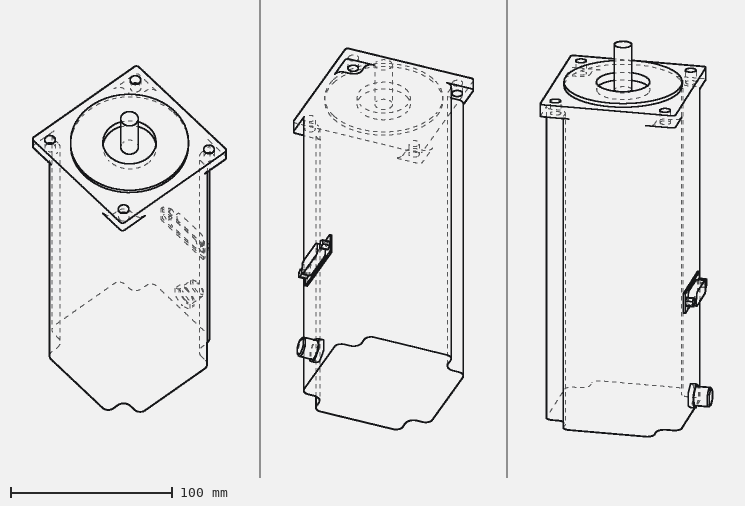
import cadquery as cq
import math

total_height = 242.0
motor_width = 85.9
back_face_y = motor_width / 2

shaft_diameter = 11.0
shaft_length = 25.0
pilot_diameter = 73.0
pilot_height = 2.5
recess_diameter = 33.0
recess_depth = 5.0
flange_thickness = 8.0
flange_corner_radius = 2.0
mounting_hole_diameter = 6.5
mounting_hole_spacing = 69.7

pilot_top_z = total_height - shaft_length
flange_top_z = pilot_top_z - pilot_height
flange_bottom_z = flange_top_z - flange_thickness
recess_floor_z = pilot_top_z - recess_depth

notch_size = 14.0
notch_inner_radius = 5.5
notch_outer_radius = 4.5

signal_z = 81.3
plate_width = 40.2
plate_height = 13.0
plate_thickness = 1.2
plate_corner_radius = 1.0
shell_bottom_width = 25.5
shell_height = 9.2
shell_reach = 6.5
shell_corner_radius = 2.5
shell_side_slant = 10.0
standoff_across_flats = 5.0
standoff_spacing = 33.5
standoff_reach = 5.8

power_z = 12.5
plug_diameter = 12.0
plug_reach = 12.8
plug_chamfer = 1.0
base_across_flats = 14.0
base_thickness = 3.5
base_corner_radius = 2.0


def back_plane(z):
    """Plane on the +Y face at height z: normal +Y, local Y up, local X along -X."""
    return cq.Workplane(cq.Plane(origin=(0, back_face_y, z), xDir=(-1, 0, 0), normal=(0, 1, 0)))


def hexagon(across_flats):
    """Corner points of a hexagon with two corners on the local Y axis."""
    corner_radius = across_flats / math.sqrt(3)
    angles = [math.radians(30 + 60 * i) for i in range(6)]
    return [(corner_radius * math.cos(a), corner_radius * math.sin(a)) for a in angles]


def make_body():
    """Square column with a rounded notch along each vertical corner."""
    arm_width = motor_width - 2 * notch_size
    grounded = (True, True, False)
    wide = cq.Workplane().box(motor_width, arm_width, flange_bottom_z, centered=grounded)
    deep = cq.Workplane().box(arm_width, motor_width, flange_bottom_z, centered=grounded)
    outer_edges = "(<X or >X or <Y or >Y)"
    body = wide.union(deep)
    body = body.edges(f"|Z and (not {outer_edges})").fillet(notch_inner_radius)
    return body.edges(f"|Z and {outer_edges}").fillet(notch_outer_radius)


def make_flange():
    """Mounting flange with four through holes and the round pilot boss."""
    flange = (
        cq.Workplane().workplane(offset=flange_bottom_z)
        .rect(motor_width, motor_width).extrude(flange_thickness)
        .edges("|Z").fillet(flange_corner_radius)
        .faces(">Z").workplane()
        .rect(mounting_hole_spacing, mounting_hole_spacing, forConstruction=True)
        .vertices().hole(mounting_hole_diameter, flange_thickness)
    )
    pilot = (
        cq.Workplane().workplane(offset=flange_top_z)
        .circle(pilot_diameter / 2).extrude(pilot_height)
    )
    return flange.union(pilot)


def make_recess():
    """Round pocket in the pilot boss around the shaft."""
    return (
        cq.Workplane().workplane(offset=recess_floor_z)
        .circle(recess_diameter / 2).extrude(recess_depth)
    )


def make_shaft():
    """Shaft rising from the recess floor."""
    return (
        cq.Workplane().workplane(offset=recess_floor_z)
        .circle(shaft_diameter / 2).extrude(total_height - recess_floor_z)
    )


def make_signal_connector():
    """Plate, D-shaped shell (wider at the bottom) and two hex standoffs."""
    plate = (
        back_plane(signal_z).rect(plate_width, plate_height).extrude(plate_thickness)
        .edges("|Y").fillet(plate_corner_radius)
    )

    slant = math.radians(shell_side_slant)
    corner_pull_in = shell_corner_radius * (math.tan(math.pi / 4 + slant / 2) - 1)
    bottom_half = shell_bottom_width / 2 + corner_pull_in
    top_half = bottom_half - shell_height * math.tan(slant)
    half_height = shell_height / 2
    shell = (
        back_plane(signal_z)
        .polyline([
            (-bottom_half, -half_height),
            (bottom_half, -half_height),
            (top_half, half_height),
            (-top_half, half_height),
        ]).close().extrude(shell_reach)
        .edges("|Y").fillet(shell_corner_radius)
    )

    connector = plate.union(shell)
    for side in (-1, 1):
        standoff = (
            back_plane(signal_z).center(side * standoff_spacing / 2, 0)
            .polyline(hexagon(standoff_across_flats)).close().extrude(standoff_reach)
        )
        connector = connector.union(standoff)
    return connector


def make_power_connector():
    """Rounded hex base carrying a round plug with a chamfered tip."""
    base = (
        back_plane(power_z)
        .polyline(hexagon(base_across_flats)).close().extrude(base_thickness)
        .edges("|Y").fillet(base_corner_radius)
    )
    plug = (
        back_plane(power_z).circle(plug_diameter / 2).extrude(plug_reach)
        .faces(">Y").chamfer(plug_chamfer)
    )
    return base.union(plug)


result = (
    make_body()
    .union(make_flange())
    .cut(make_recess())
    .union(make_shaft())
    .union(make_signal_connector())
    .union(make_power_connector())
)